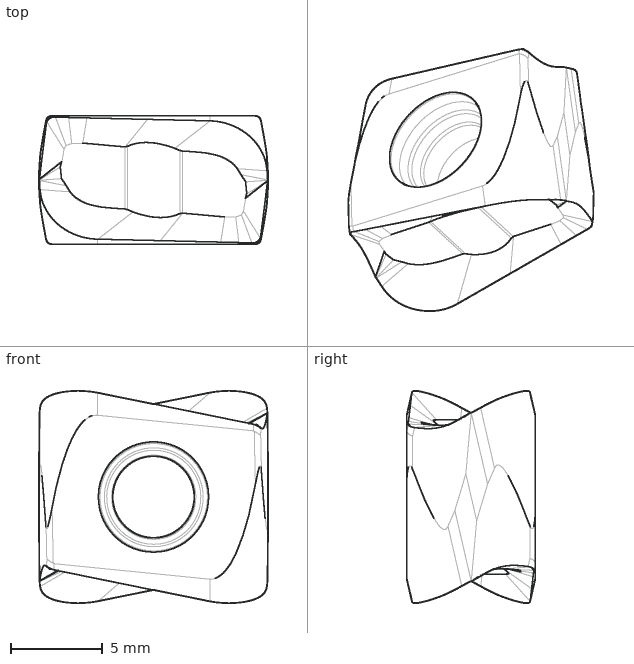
import cadquery as cq
import math

THICKNESS = 7.0
HALF_THICKNESS = THICKNESS / 2
REACH = 8.0

FLANK_LEAN = math.tan(math.radians(13.0))
HALF_LENGTH = 6.24
END_FACET = (-6.206, -1.057)
CORNER_RADIUS = 3.06
CORNER_CENTER = (-3.12, -1.47)
CORNER_START = 183.0
LONG_SIDE_SLOPE = 0.023
CORNER_END = 270.0 + math.degrees(math.atan(LONG_SIDE_SLOPE))

END_OFFSET = 6.306
END_TAPER = 0.13
END_LEAN = 0.0218
FACE_CORNER_RADIUS = 0.35
FLANK_CORNER_RADIUS = 0.42

FLOOR_Z = 3.91
TIP_Z = 4.58
CREST_ANGLE = 255.0
CREST_Z = 5.777
CORNER_ENTRY_Z = 4.85
LONG_EDGE_HIGH_Z = 5.68
LONG_EDGE_SLOPE = -0.2026
LONG_EDGE_BREAK_X = 3.64
LONG_EDGE_BLEND_X = 4.63
LONG_EDGE_END_X = 5.34
LONG_EDGE_MIDDLE_X = 0.35
RAKE_OVERRUN = 1.05

HUMP_TOP_Z = 4.19
HUMP_HALF_WIDTH = 1.425
HUMP_BLEND_RISE = 0.03
HUMP_BASE_HALF_WIDTH = 1.568

BORE_RADIUS = 2.215
MOUTH_RADIUS = 3.0
MOUTH_CHAMFER = (2.97, 0.08)
COUNTERBORE_END = (2.92, 0.84)
COUNTERBORE_ARC = (2.86, 1.10)
SEAT_START = (2.69, 1.33)
SEAT_BREAK = (2.56, 1.51)
SEAT_END = (2.29, 1.95)
BORE_BLEND = (2.235, 2.05)
BORE_DEPTH = 2.16


def corner_point(angle):
    """Point of the flank outline on the large corner."""
    turn = math.radians(angle)
    x = CORNER_CENTER[0] + CORNER_RADIUS * math.cos(turn)
    y = CORNER_CENTER[1] + CORNER_RADIUS * math.sin(turn)
    return x, y


def long_side_y(x):
    """Outline y on the straight long side."""
    tangent_x, tangent_y = corner_point(CORNER_END)
    return tangent_y + LONG_SIDE_SLOPE * (x - tangent_x)


def long_edge_z(x):
    """Height of the top rim along the long side."""
    return LONG_EDGE_HIGH_Z + LONG_EDGE_SLOPE * (x - corner_point(CORNER_END)[0])


def lean(point, z):
    """Carry an outline point along the flank to the height z."""
    return cq.Vector(point[0], point[1] + FLANK_LEAN * z, z)


def rim_on_end(y, z):
    return cq.Vector(END_OFFSET + END_TAPER * y - END_LEAN * z, y, z)


def rim_on_corner(angle, z):
    return lean(corner_point(angle), z)


def rim_on_long_side(x):
    return lean((x, long_side_y(x)), long_edge_z(x))


def turned(shape, axis):
    """Copy turned 180 degrees about a coordinate axis."""
    return shape.rotate((0, 0, 0), axis, 180)


def flank_prism():
    """Leaning prism with both large corners of the -X end."""
    start = corner_point(CORNER_START)
    middle = corner_point((CORNER_START + CORNER_END) / 2)
    end = corner_point(CORNER_END)
    far = (REACH, long_side_y(REACH))

    def mirrored(point):
        return point[0], -point[1]

    outline = (
        cq.Workplane("XY")
        .moveTo(-HALF_LENGTH, 0)
        .lineTo(*END_FACET)
        .lineTo(*start)
        .threePointArc(middle, end)
        .lineTo(*far)
        .lineTo(*mirrored(far))
        .lineTo(*mirrored(end))
        .threePointArc(mirrored(middle), mirrored(start))
        .lineTo(*mirrored(END_FACET))
        .close()
        .wire()
        .val()
    )
    sweep = lean((0, 0), REACH)
    return cq.Solid.extrudeLinear(outline.translate(-sweep), [], sweep * 2)


def end_wedge():
    """Everything inside the two +X end planes, which meet in a shallow ridge."""
    far_y = 2 * HALF_THICKNESS
    sweep = cq.Vector(-END_LEAN * REACH, 0, REACH)
    outline = cq.Wire.makePolygon(
        [
            cq.Vector(-2 * REACH, -far_y, 0),
            cq.Vector(END_OFFSET - END_TAPER * far_y, -far_y, 0),
            cq.Vector(END_OFFSET + END_TAPER * far_y, far_y, 0),
            cq.Vector(-2 * REACH, far_y, 0),
        ],
        close=True,
    )
    wedge = cq.Solid.extrudeLinear(outline.translate(-sweep), [], sweep * 2)
    return wedge.intersect(turned(wedge, (1, 0, 0)))


def rounded_at_end(solid, radius):
    """Round the upright edges at the two +X corners, leaving the ridge between the end planes sharp."""

    def is_corner(edge):
        middle = edge.Center()
        upright = abs(edge.tangentAt(0.5).z) > 0.9
        return upright and middle.x > 0 and abs(middle.y) > HALF_THICKNESS / 2

    return solid.fillet(radius, [edge for edge in solid.Edges() if is_corner(edge)])


def half_body():
    """Flanks of the -X end with the end planes of the +X end, between the two seating faces."""
    wedge = end_wedge()
    slab = cq.Workplane("XY").box(4 * REACH, THICKNESS, 2 * REACH).val()
    slab = rounded_at_end(slab.intersect(wedge).Solids()[0], FACE_CORNER_RADIUS)
    flanks = rounded_at_end(flank_prism().intersect(wedge).Solids()[0], FLANK_CORNER_RADIUS)
    return slab.intersect(flanks)


def curve(points):
    """Line through two points, or a smooth curve through more."""
    if len(points) == 2:
        return cq.Edge.makeLine(*points)
    return cq.Edge.makeSpline(points)


def floor_point(x, y):
    return cq.Vector(x, y, FLOOR_Z)


def turned_point(v):
    return cq.Vector(-v.x, -v.y, v.z)


def ruling(rim, floor):
    """Straight line of the rake: its end just outside the rim and its end on the floor."""
    return floor + (rim - floor) * RAKE_OVERRUN, floor


def tip_fan():
    """Apex beyond the rim at the middle of the +X end, and the floor points of its facets."""
    middle = floor_point(5.01, -0.09)
    floor = [floor_point(5.0, -0.99), floor_point(5.07, -0.73), middle, floor_point(4.75, 0.3)]
    apex, _ = ruling(rim_on_end(0, TIP_Z), middle)
    return apex, floor


def rake_strips():
    """Rake strips of one half, from the -X tip along the long side to the +X tip, as lists of rulings."""
    apex, fan_floor = tip_fan()
    first = (turned_point(apex), turned_point(fan_floor[-1]))
    last = (apex, fan_floor[0])
    corner_entry = ruling(rim_on_corner(CORNER_START, CORNER_ENTRY_Z), floor_point(-4.55, -0.63))
    corner_crest = ruling(rim_on_corner(CREST_ANGLE, CREST_Z), floor_point(-1.79, -1.56))
    corner_exit = ruling(rim_on_long_side(corner_point(CORNER_END)[0]), floor_point(-1.0, -1.62))
    edge_middle = ruling(rim_on_long_side(LONG_EDGE_MIDDLE_X), floor_point(HUMP_BASE_HALF_WIDTH, -1.8))
    edge_break = ruling(rim_on_long_side(LONG_EDGE_BREAK_X), floor_point(3.86, -2.01))
    blend_middle = ruling(rim_on_long_side(LONG_EDGE_BLEND_X), floor_point(4.46, -2.0))
    edge_end = ruling(rim_on_long_side(LONG_EDGE_END_X), floor_point(4.77, -1.89))
    end_start = ruling(rim_on_end(-3.17, 3.79), floor_point(4.88, -1.68))
    large_corner = [
        corner_entry,
        ruling(rim_on_corner(207, 5.39), floor_point(-4.04, -1.09)),
        ruling(rim_on_corner(232, 5.70), floor_point(-2.77, -1.48)),
        corner_crest,
        corner_exit,
    ]
    end = [
        end_start,
        ruling(rim_on_end(-2.4, 3.72), floor_point(4.91, -1.5)),
        ruling(rim_on_end(-1.82, 3.76), floor_point(4.94, -1.32)),
        ruling(rim_on_end(-1.25, 3.92), floor_point(4.97, -1.18)),
        ruling(rim_on_end(-0.7, 4.19), floor_point(4.99, -1.06)),
        last,
    ]
    return [
        [first, corner_entry],
        large_corner,
        [corner_exit, edge_middle],
        [edge_middle, edge_break],
        [edge_break, blend_middle],
        [blend_middle, edge_end],
        [edge_end, end_start],
        end,
    ]


def chip_pocket():
    """Everything above the top rake faces and the floor."""
    faces = []
    floor_edges = []
    cap_edges = []
    apex, fan_floor = tip_fan()
    for turn in (cq.Vector, turned_point):
        for strip in rake_strips():
            outer_points = [turn(o) for o, _ in strip]
            inner = curve([turn(f) for _, f in strip])
            outer = curve(outer_points)
            cap = curve([cq.Vector(p.x, p.y, REACH) for p in outer_points])
            faces.append(cq.Face.makeRuledSurface(inner, outer))
            faces.append(cq.Face.makeRuledSurface(outer, cap))
            floor_edges.append(inner)
            cap_edges.append(cap)
        for near, far in zip(fan_floor, fan_floor[1:]):
            facet = cq.Wire.makePolygon([turn(apex), turn(near), turn(far)], close=True)
            faces.append(cq.Face.makeFromWires(facet))
            floor_edges.append(cq.Edge.makeLine(turn(near), turn(far)))
    for edges in (floor_edges, cap_edges):
        faces.append(cq.Face.makeFromWires(cq.Wire.assembleEdges(edges)))
    return cq.Solid.makeSolid(cq.Shell.makeShell(faces)).fix()


def screw_land():
    """Hump over the screw hole, blended into the floor on both sides."""
    foot_z = FLOOR_Z - (HUMP_TOP_Z - FLOOR_Z)
    return (
        cq.Workplane("XZ", origin=(0, REACH, 0))
        .moveTo(-HUMP_BASE_HALF_WIDTH, FLOOR_Z)
        .lineTo(-HUMP_HALF_WIDTH, FLOOR_Z + HUMP_BLEND_RISE)
        .threePointArc((0, HUMP_TOP_Z), (HUMP_HALF_WIDTH, FLOOR_Z + HUMP_BLEND_RISE))
        .lineTo(HUMP_BASE_HALF_WIDTH, FLOOR_Z)
        .lineTo(HUMP_BASE_HALF_WIDTH, foot_z)
        .lineTo(-HUMP_BASE_HALF_WIDTH, foot_z)
        .close()
        .extrude(2 * REACH)
        .val()
    )


def screw_hole():
    """Revolved about Y: chamfered counterbore and conical seat from each face, joined by the bore."""

    def at(size):
        radius, depth = size
        return depth - HALF_THICKNESS, -radius

    half = (
        cq.Workplane("YZ")
        .moveTo(-HALF_THICKNESS, 0)
        .lineTo(*at((MOUTH_RADIUS, 0)))
        .lineTo(*at(MOUTH_CHAMFER))
        .lineTo(*at(COUNTERBORE_END))
        .threePointArc(at(COUNTERBORE_ARC), at(SEAT_START))
        .lineTo(*at(SEAT_BREAK))
        .lineTo(*at(SEAT_END))
        .threePointArc(at(BORE_BLEND), at((BORE_RADIUS, BORE_DEPTH)))
        .lineTo(0, -BORE_RADIUS)
        .lineTo(0, 0)
        .close()
        .revolve(360, (0, 0, 0), (1, 0, 0))
        .val()
    )
    return half.fuse(half.mirror("XZ"))


one_half = half_body()
body = one_half.intersect(turned(one_half, (0, 0, 1)))
pocket = chip_pocket().cut(screw_land())
body = body.cut(pocket).cut(turned(pocket, (1, 0, 0))).cut(screw_hole())
result = cq.Workplane(body)